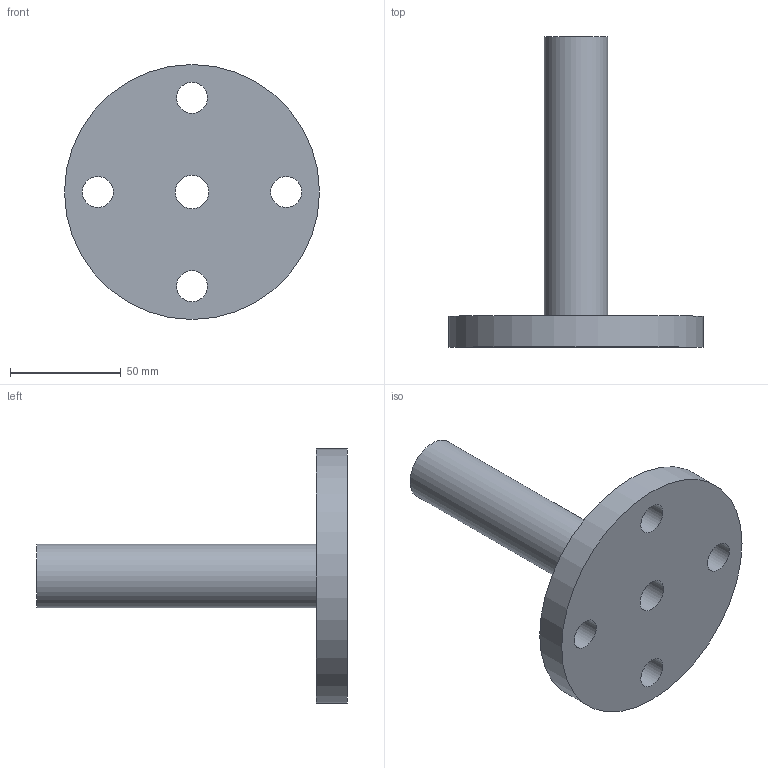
import cadquery as cq

flange_diameter = 115.0
flange_thickness = 14.0

overall_length = 140.0
tube_diameter = 28.5
bore_diameter = 15.0

bolt_circle_diameter = 85.0
bolt_hole_diameter = 14.0
bolt_hole_count = 4


def cylinder_along_y(diameter, length):
    """Cylinder centred on the Y axis, from Y = 0 to Y = length."""
    return cq.Workplane("XZ").circle(diameter / 2).extrude(-length)


def bolt_holes():
    """Cutters for the through holes, evenly spaced on the bolt circle."""
    return (
        cq.Workplane("XZ")
        .polarArray(bolt_circle_diameter / 2, 0, 360, bolt_hole_count)
        .circle(bolt_hole_diameter / 2)
        .extrude(-flange_thickness)
    )


flange = cylinder_along_y(flange_diameter, flange_thickness).cut(bolt_holes())
tube = cylinder_along_y(tube_diameter, overall_length)
bore = cylinder_along_y(bore_diameter, overall_length)

result = flange.union(tube).cut(bore)